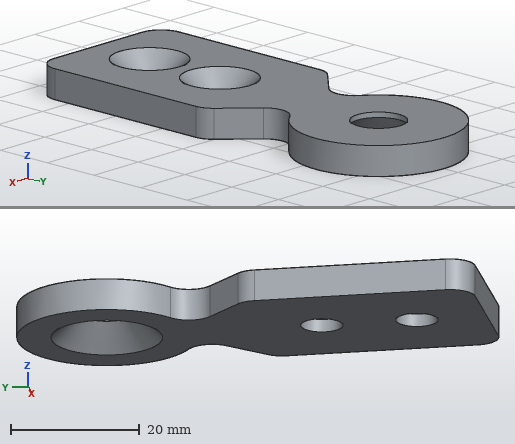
import cadquery as cq
import math

length = 74.0
width = 28.0
thickness = 5.0
corner_radius = 4.0
neck_radius = 4.0
neck_width = 12.4
eye_hole_diameter = 9.0
eye_land_thickness = 0.9
screw_hole_diameter = 6.6
countersink_diameter = 12.6
countersink_angle = 90.0
first_screw_y = 11.0
screw_spacing = 15.0

half_width = width / 2
eye_radius = half_width
eye_y = length - eye_radius
diagonal = math.sqrt(0.5)

neck_x = neck_width / 2 + neck_radius
center_distance = eye_radius + neck_radius
neck_y = eye_y - math.sqrt(center_distance**2 - neck_x**2)
eye_tangent = (
    neck_x * eye_radius / center_distance,
    eye_y + (neck_y - eye_y) * eye_radius / center_distance,
)
neck_end = (neck_x - neck_radius * diagonal, neck_y - neck_radius * diagonal)

corner_x = half_width - corner_radius
shoulder_end_x = corner_x + corner_radius * diagonal
shoulder_end_y = neck_end[1] - (shoulder_end_x - neck_end[0])
shoulder_center_y = shoulder_end_y - corner_radius * diagonal


def arc_point(center_x, center_y, radius, degrees):
    """Point on a circle at an angle counterclockwise from +X."""
    angle = math.radians(degrees)
    return (center_x + radius * math.cos(angle), center_y + radius * math.sin(angle))


def mirrored(point):
    """Matching point on the other side of X = 0."""
    return (-point[0], point[1])


def make_plate():
    """Plate outline, counterclockwise from the right end of the foot edge."""
    foot_end = (corner_x, 0)
    foot_arc_middle = arc_point(corner_x, corner_radius, corner_radius, -45)
    side_start = (half_width, corner_radius)
    side_end = (half_width, shoulder_center_y)
    shoulder_arc_middle = arc_point(corner_x, shoulder_center_y, corner_radius, 22.5)
    shoulder_end = (shoulder_end_x, shoulder_end_y)
    neck_middle = (neck_width / 2, neck_y)
    return (
        cq.Workplane("XY")
        .moveTo(*foot_end)
        .threePointArc(foot_arc_middle, side_start)
        .lineTo(*side_end)
        .threePointArc(shoulder_arc_middle, shoulder_end)
        .lineTo(*neck_end)
        .threePointArc(neck_middle, eye_tangent)
        .threePointArc((0, length), mirrored(eye_tangent))
        .threePointArc(mirrored(neck_middle), mirrored(neck_end))
        .lineTo(*mirrored(shoulder_end))
        .threePointArc(mirrored(shoulder_arc_middle), mirrored(side_end))
        .lineTo(*mirrored(side_start))
        .threePointArc(mirrored(foot_arc_middle), mirrored(foot_end))
        .close()
        .extrude(thickness)
    )


plate = make_plate()

eye_cone_depth = thickness - eye_land_thickness
eye_cone_slope = math.tan(math.radians(countersink_angle / 2))
eye_cone_radius = eye_hole_diameter / 2 + eye_cone_depth * eye_cone_slope
eye_center = cq.Workplane("XY").center(0, eye_y)
eye_hole = eye_center.circle(eye_hole_diameter / 2).extrude(thickness)
eye_cone = eye_center.circle(eye_cone_radius).extrude(eye_cone_depth, taper=countersink_angle / 2)
plate = plate.cut(eye_hole).cut(eye_cone)

screw_points = [(0, first_screw_y + i * screw_spacing) for i in range(2)]
top = plate.faces(">Z").workplane(origin=(0, 0, thickness))
result = top.pushPoints(screw_points).cskHole(
    screw_hole_diameter, countersink_diameter, countersink_angle
)